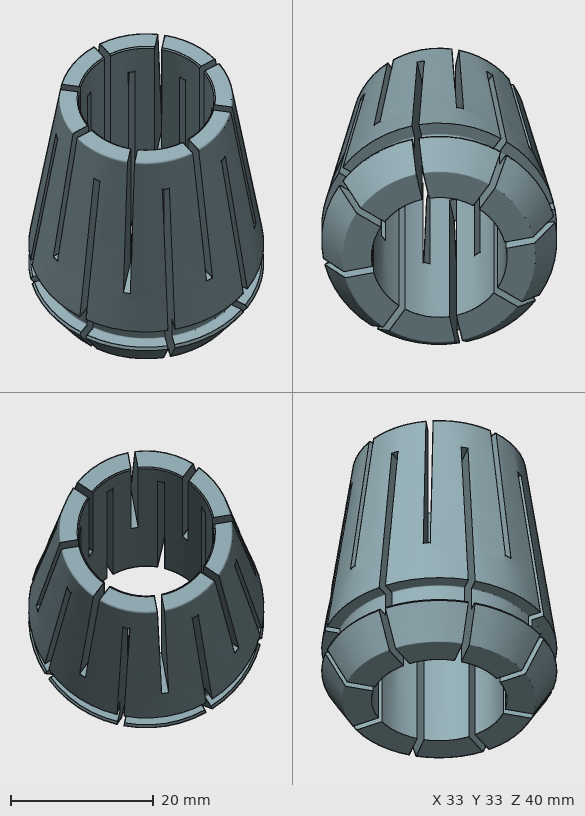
import cadquery as cq
import math

height = 40.0
max_radius = 16.5
bore_radius = 9.5
taper_angle = 8.0
nose_angle = 30.0

groove_bottom = 5.5
groove_top = 9.1
groove_radius = 14.6
groove_fillet = 0.15
rim_edge_width = 0.3
rim_edge_height = 0.4

end_fillet = 0.3
nose_fillet = 0.15
bore_chamfer = 0.2

slot_count = 8
slot_pitch = 360 / slot_count
slot_width = 1.0
nose_slot_end = 35.0
tail_slot_end = 16.0


def collet_body():
    """Revolved collet: tapered nose, groove, long taper and through bore."""
    rim_bottom = groove_bottom - rim_edge_height
    nose_radius = max_radius - rim_bottom * math.tan(math.radians(nose_angle))
    tail_radius = max_radius - (height - groove_top) * math.tan(math.radians(taper_angle))
    profile = [
        (bore_radius, 0),
        (nose_radius, 0),
        (max_radius, rim_bottom),
        (max_radius - rim_edge_width, groove_bottom),
        (groove_radius, groove_bottom),
        (groove_radius, groove_top),
        (max_radius, groove_top),
        (tail_radius, height),
        (bore_radius + bore_chamfer, height),
        (bore_radius, height - bore_chamfer),
    ]
    body = cq.Workplane("XZ").polyline(profile).close().revolve(360, (0, 0, 0), (0, 1, 0))
    body = round_edge(body, tail_radius, height, end_fillet)
    body = round_edge(body, nose_radius, 0, nose_fillet)
    for level in (groove_bottom, groove_top):
        body = round_edge(body, groove_radius, level, groove_fillet)
    return body


def round_edge(body, radius, level, fillet_radius):
    """Fillet the circular edge of the given radius at the given height."""
    tolerance = 0.01
    reach = radius + tolerance
    inner_reach = radius - tolerance
    edges = body.edges("%CIRCLE").filter(
        lambda edge: inner_reach < edge.radius() < reach
        and abs(edge.Center().z - level) < tolerance
    )
    return edges.fillet(fillet_radius)


def radial_slots(bottom, top, first_angle):
    """Ring of radial slot cutters between two heights."""
    cutter = (
        cq.Workplane("XY", origin=(max_radius, 0, bottom))
        .rect(2 * max_radius, slot_width)
        .extrude(top - bottom)
    )
    cutters = cq.Workplane("XY")
    for index in range(slot_count):
        angle = first_angle + index * slot_pitch
        cutters = cutters.add(cutter.rotate((0, 0, 0), (0, 0, 1), angle))
    return cutters.combine()


nose_slots = radial_slots(0, nose_slot_end, 0)
tail_slots = radial_slots(tail_slot_end, height, slot_pitch / 2)

result = collet_body().cut(nose_slots).cut(tail_slots)